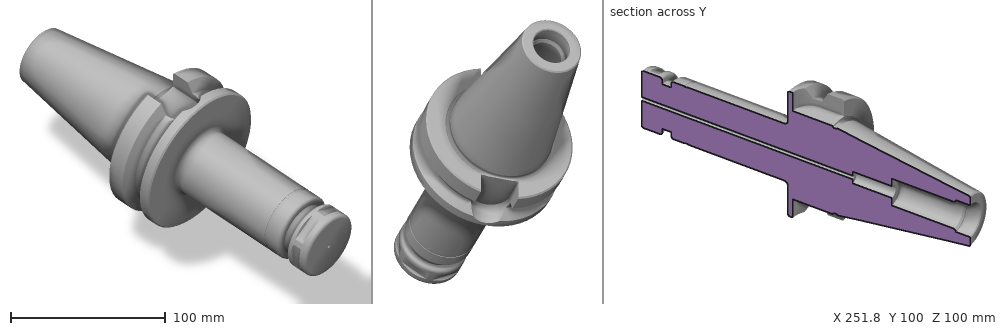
import cadquery as cq
import math


TAPER_LENGTH = 101.8
TAPER_RATIO = 7 / 24
GAUGE_RADIUS = 69.85 / 2
TAPER_END_RADIUS = GAUGE_RADIUS - TAPER_LENGTH * TAPER_RATIO / 2
TAPER_END_CHAMFER = 0.8
TAPER_START = -TAPER_LENGTH

RELIEF_START = 0.6
RELIEF_RADIUS = 34.2
RELIEF_FILLET = 1.0

RECESS_DEPTH = 0.4
RECESS_FLOOR_RADIUS = 36.4
RECESS_MOUTH_RADIUS = 37.0

FLANGE_START = 3.0
FLANGE_END = 38.0
FLANGE_RADIUS = 50.0
FLANGE_CHAMFER = 1.0
GROOVE_CENTER = 23.0
GROOVE_FLOOR_WIDTH = 6.5
GROOVE_FLOOR_RADIUS = 42.5
GROOVE_FLANK_ANGLE = 30.0

SLOT_WIDTH = 25.4
SLOT_END = 34.1
SLOT_FLOOR_HEIGHT = 35.4

BODY_RADIUS = 23.0
BODY_END = 127.2
BODY_BASE_FILLET = 3.0
BODY_FILLET = 2.0
MARK_START = 114.5
MARK_WIDTH = 2.4
MARK_DEPTH = 0.3

NECK_RADIUS = 18.0
NUT_START = 133.8
NUT_END = 150.0
NUT_RADIUS = BODY_RADIUS
NUT_FILLET = 2.2
POCKET_COUNT = 6
POCKET_FLOOR_RADIUS = 20.85
POCKET_CENTER = 141.1
POCKET_FLOOR_WIDTH = 6.4
POCKET_TOP_WIDTH = 7.6

BORE_RADIUS = 12.5
BORE_MOUTH_CHAMFER = 0.7
BORE_DEPTH = 11.0
THREAD_RADIUS = 10.5
THREAD_DEPTH = 60.0
THREAD_CHAMFER_RADIUS = 12.0
COOLANT_RADIUS = 4.5
COOLANT_DEPTH = 90.0
THROUGH_RADIUS = 2.5 / 2


def make_body():
    """Turn the outside of the holder in one revolve."""
    chamfer_radius = TAPER_END_RADIUS - TAPER_END_CHAMFER
    chamfer_end_radius = TAPER_END_RADIUS + TAPER_END_CHAMFER * TAPER_RATIO / 2
    recess_floor = FLANGE_START + RECESS_DEPTH
    flank_run = (FLANGE_RADIUS - GROOVE_FLOOR_RADIUS) * math.tan(math.radians(GROOVE_FLANK_ANGLE))
    floor_start = GROOVE_CENTER - GROOVE_FLOOR_WIDTH / 2
    floor_end = GROOVE_CENTER + GROOVE_FLOOR_WIDTH / 2
    profile = (
        cq.Workplane("XY")
        .moveTo(TAPER_START, 0)
        .lineTo(TAPER_START, chamfer_radius)
        .lineTo(TAPER_START + TAPER_END_CHAMFER, chamfer_end_radius)
        .lineTo(0, GAUGE_RADIUS)
        .lineTo(RELIEF_START, RELIEF_RADIUS)
        .lineTo(recess_floor - RELIEF_FILLET, RELIEF_RADIUS)
        .radiusArc((recess_floor, RELIEF_RADIUS + RELIEF_FILLET), -RELIEF_FILLET)
        .lineTo(recess_floor, RECESS_FLOOR_RADIUS)
        .lineTo(FLANGE_START, RECESS_MOUTH_RADIUS)
        .lineTo(FLANGE_START, FLANGE_RADIUS - FLANGE_CHAMFER)
        .lineTo(FLANGE_START + FLANGE_CHAMFER, FLANGE_RADIUS)
        .lineTo(floor_start - flank_run, FLANGE_RADIUS)
        .lineTo(floor_start, GROOVE_FLOOR_RADIUS)
        .lineTo(floor_end, GROOVE_FLOOR_RADIUS)
        .lineTo(floor_end + flank_run, FLANGE_RADIUS)
        .lineTo(FLANGE_END - FLANGE_CHAMFER, FLANGE_RADIUS)
        .lineTo(FLANGE_END, FLANGE_RADIUS - FLANGE_CHAMFER)
        .lineTo(FLANGE_END, BODY_RADIUS + BODY_BASE_FILLET)
        .radiusArc((FLANGE_END + BODY_BASE_FILLET, BODY_RADIUS), -BODY_BASE_FILLET)
        .lineTo(MARK_START, BODY_RADIUS)
        .lineTo(MARK_START, BODY_RADIUS - MARK_DEPTH)
        .lineTo(MARK_START + MARK_WIDTH, BODY_RADIUS - MARK_DEPTH)
        .lineTo(MARK_START + MARK_WIDTH, BODY_RADIUS)
        .lineTo(BODY_END - BODY_FILLET, BODY_RADIUS)
        .radiusArc((BODY_END, BODY_RADIUS - BODY_FILLET), BODY_FILLET)
        .lineTo(BODY_END, NECK_RADIUS)
        .lineTo(NUT_START, NECK_RADIUS)
        .lineTo(NUT_START, NUT_RADIUS - NUT_FILLET)
        .radiusArc((NUT_START + NUT_FILLET, NUT_RADIUS), NUT_FILLET)
        .lineTo(NUT_END - NUT_FILLET, NUT_RADIUS)
        .radiusArc((NUT_END, NUT_RADIUS - NUT_FILLET), NUT_FILLET)
        .lineTo(NUT_END, 0)
        .close()
    )
    return profile.revolve(360, (0, 0, 0), (1, 0, 0))


def make_bore():
    """Stepped bore that opens at the small end of the taper and runs through."""
    bore_end = TAPER_START + BORE_DEPTH
    cone_end = bore_end + THREAD_CHAMFER_RADIUS - THREAD_RADIUS
    thread_end = TAPER_START + THREAD_DEPTH
    coolant_end = TAPER_START + COOLANT_DEPTH
    profile = (
        cq.Workplane("XY")
        .moveTo(TAPER_START, 0)
        .lineTo(TAPER_START, BORE_RADIUS + BORE_MOUTH_CHAMFER)
        .lineTo(TAPER_START + BORE_MOUTH_CHAMFER, BORE_RADIUS)
        .lineTo(bore_end, BORE_RADIUS)
        .lineTo(bore_end, THREAD_CHAMFER_RADIUS)
        .lineTo(cone_end, THREAD_RADIUS)
        .lineTo(thread_end, THREAD_RADIUS)
        .lineTo(thread_end, COOLANT_RADIUS)
        .lineTo(coolant_end, COOLANT_RADIUS)
        .lineTo(coolant_end, THROUGH_RADIUS)
        .lineTo(NUT_END, THROUGH_RADIUS)
        .lineTo(NUT_END, 0)
        .close()
    )
    return profile.revolve(360, (0, 0, 0), (1, 0, 0))


def make_drive_slot():
    """Round-ended slot on the +Z side, open toward the taper."""
    half_width = SLOT_WIDTH / 2
    arc_start = SLOT_END - half_width
    return (
        cq.Workplane("XY", origin=(0, 0, SLOT_FLOOR_HEIGHT))
        .moveTo(0, -half_width)
        .lineTo(arc_start, -half_width)
        .threePointArc((SLOT_END, 0), (arc_start, half_width))
        .lineTo(0, half_width)
        .close()
        .extrude(FLANGE_RADIUS)
    )


def make_wrench_pocket():
    """Flat-bottomed pocket with sloping side walls on the +Y side of the nut."""
    floor_half = POCKET_FLOOR_WIDTH / 2
    top_half = POCKET_TOP_WIDTH / 2
    return (
        cq.Workplane("XY")
        .moveTo(POCKET_CENTER - floor_half, POCKET_FLOOR_RADIUS)
        .lineTo(POCKET_CENTER - top_half, NUT_RADIUS)
        .lineTo(POCKET_CENTER + top_half, NUT_RADIUS)
        .lineTo(POCKET_CENTER + floor_half, POCKET_FLOOR_RADIUS)
        .close()
        .extrude(NUT_RADIUS, both=True)
    )


result = make_body().cut(make_bore())

drive_slot = make_drive_slot()
for angle in (0, 180):
    result = result.cut(drive_slot.rotate((0, 0, 0), (1, 0, 0), angle))

wrench_pocket = make_wrench_pocket()
for index in range(POCKET_COUNT):
    pocket_angle = index * 360 / POCKET_COUNT
    result = result.cut(wrench_pocket.rotate((0, 0, 0), (1, 0, 0), pocket_angle))